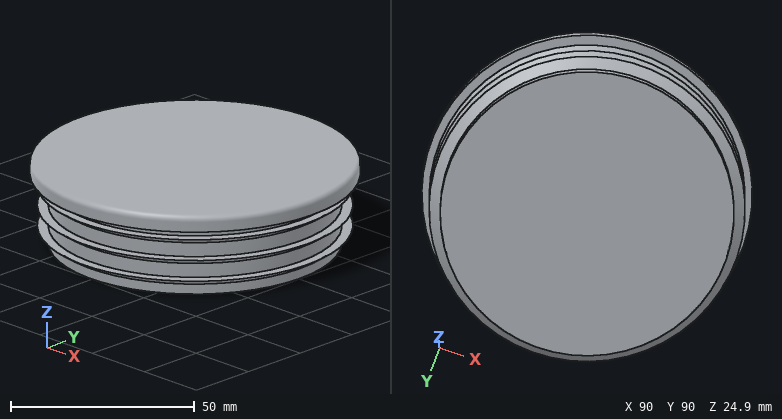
import cadquery as cq


cover_diameter = 90.0
cover_thickness = 4.95
cover_edge_radius = 2.0
total_height = 24.9
plug_diameter = 80.0
plug_height = total_height - cover_thickness

fin_diameter = 86.0
fin_height = 2.0
fin_count = 3
fin_pitch = 6.0
lowest_fin_top = 4.95


def make_cover():
    """Cover disc with its upper rim rounded."""
    disc = cq.Workplane("XY").workplane(offset=plug_height).circle(cover_diameter / 2).extrude(cover_thickness)
    return disc.faces(">Z").edges().fillet(cover_edge_radius)


def make_fin(top_z):
    """Conical fin: flat on top, tapering down to the plug wall."""
    return (
        cq.Workplane("XY")
        .workplane(offset=top_z - fin_height)
        .circle(plug_diameter / 2)
        .workplane(offset=fin_height)
        .circle(fin_diameter / 2)
        .loft(ruled=True)
    )


plug = cq.Workplane("XY").circle(plug_diameter / 2).extrude(plug_height)
result = plug.union(make_cover())
for index in range(fin_count):
    result = result.union(make_fin(lowest_fin_top + index * fin_pitch))